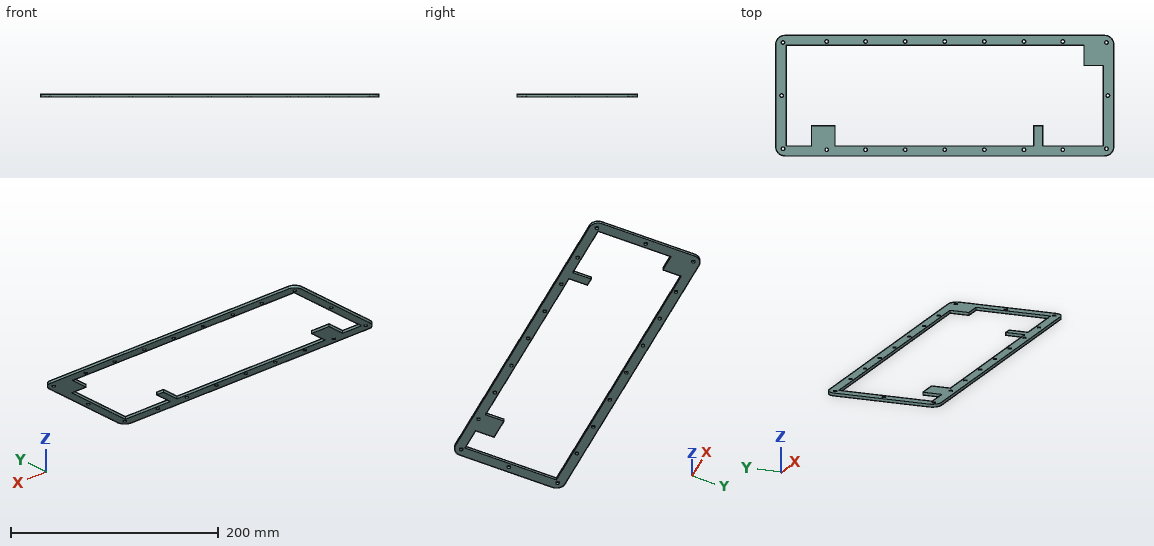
import cadquery as cq

length = 326.0
width = 116.3
thickness = 3.0
corner_radius = 9.0

end_rail = 10.5
side_rail = 9.8
window_right = length / 2 - end_rail
window_top = width / 2 - side_rail

tab_reach = 19.5
wide_tab_left = -128.5
wide_tab_width = 22.8
narrow_tab_left = 85.7
narrow_tab_width = 8.8
corner_tab_left = 134.0

hole_diameter = 3.3
side_hole_offsets = (0.0, 38.0, 76.2, 113.7)
side_hole_y = 52.0
corner_hole_x = 155.8
corner_hole_y = 51.0
end_hole_x = 157.0


def make_plate():
    """Solid plate with rounded corners."""
    plate = cq.Workplane("XY").box(length, width, thickness)
    return plate.edges("|Z").fillet(corner_radius)


def make_window():
    """Cutter for the window, stepped around the three tabs."""
    tab_end_low = -window_top + tab_reach
    tab_end_high = window_top - tab_reach
    outline = cq.Workplane("XY").moveTo(-window_right, -window_top)
    for left, tab_width in (
        (wide_tab_left, wide_tab_width),
        (narrow_tab_left, narrow_tab_width),
    ):
        outline = (
            outline.lineTo(left, -window_top)
            .lineTo(left, tab_end_low)
            .lineTo(left + tab_width, tab_end_low)
            .lineTo(left + tab_width, -window_top)
        )
    return (
        outline.lineTo(window_right, -window_top)
        .lineTo(window_right, tab_end_high)
        .lineTo(corner_tab_left, tab_end_high)
        .lineTo(corner_tab_left, window_top)
        .lineTo(-window_right, window_top)
        .close()
        .extrude(thickness, both=True)
    )


def hole_centres():
    """Centres of all screw holes, mirrored about both axes."""
    quadrant = [(offset, side_hole_y) for offset in side_hole_offsets]
    quadrant.append((corner_hole_x, corner_hole_y))
    quadrant.append((end_hole_x, 0.0))
    centres = {
        (x_sign * x, y_sign * y)
        for x, y in quadrant
        for x_sign in (-1, 1)
        for y_sign in (-1, 1)
    }
    return sorted(centres)


frame = make_plate().cut(make_window())
result = frame.faces(">Z").workplane(origin=(0, 0, 0)).pushPoints(hole_centres()).hole(hole_diameter)